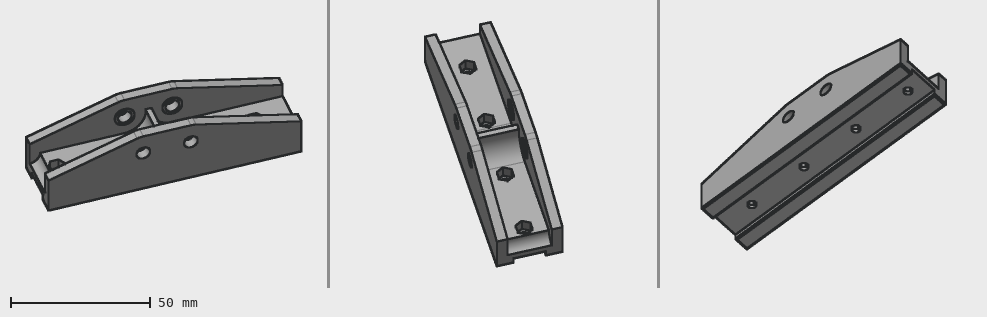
import cadquery as cq
import math

LENGTH = 96.0
WIDTH = 24.5
HEIGHT = 25.7
END_HEIGHT = 15.1
WALL = 4.0
INNER_WIDTH = WIDTH - 2 * WALL

AXLE_MIDDLE_Y = -3.0
AXLE_SPACING = 18.0
AXLE_Z = 17.7
AXLE_DIAMETER = 5.2
AXLE_YS = (AXLE_MIDDLE_Y - AXLE_SPACING / 2, AXLE_MIDDLE_Y + AXLE_SPACING / 2)
PAD_DIAMETER = 7.5
PAD_THICKNESS = 0.2

ROLLER_RADIUS = 8.0
FLOOR_Z = AXLE_Z - ROLLER_RADIUS
RIDGE_Z = 18.9
END_SCOOP_RADIUS = 3.9

GROOVE_WIDTH = 12.0
GROOVE_DEPTH = 2.9
FOOT_CHAMFER = 0.5

SCREW_COUNT = 4
SCREW_SPACING = 25.1
SCREW_DIAMETER = 3.3
NUT_SIDES = 6
NUT_ACROSS_FLATS = 5.5
NUT_POCKET_DEPTH = 4.8


def x_cylinder(diameter, length, y, z):
    """Cylinder along X, centred on x = 0."""
    return cq.Workplane("YZ", origin=(-length / 2, y, z)).circle(diameter / 2).extrude(length)


def x_box(length, y_range, z_range):
    """Box centred on x = 0 that spans the given Y and Z ranges."""
    y_low, y_high = y_range
    z_low, z_high = z_range
    return (
        cq.Workplane("XY")
        .box(length, y_high - y_low, z_high - z_low)
        .translate((0, (y_low + y_high) / 2, (z_low + z_high) / 2))
    )


def shoulder_points(axle_y, end_y):
    """Arc midpoint and end where the slope from the end face meets the round over an axle."""
    radius = HEIGHT - AXLE_Z
    run = abs(end_y - axle_y)
    drop = AXLE_Z - END_HEIGHT
    side = math.copysign(1, end_y - axle_y)
    tilt = math.atan2(run, -drop) - math.acos(radius / math.hypot(run, drop))

    def on_round(angle):
        return (axle_y + side * radius * math.sin(angle), AXLE_Z + radius * math.cos(angle))

    return on_round(tilt / 2), on_round(tilt)


def make_body():
    """Solid block with the side outline: a flat top that slopes down to both ends."""
    front_y, back_y = -LENGTH / 2, LENGTH / 2
    front_middle, front_tangent = shoulder_points(AXLE_YS[0], front_y)
    back_middle, back_tangent = shoulder_points(AXLE_YS[1], back_y)
    return (
        cq.Workplane("YZ", origin=(-WIDTH / 2, 0, 0))
        .moveTo(front_y, 0)
        .lineTo(front_y, END_HEIGHT)
        .lineTo(*front_tangent)
        .threePointArc(front_middle, (AXLE_YS[0], HEIGHT))
        .lineTo(AXLE_YS[1], HEIGHT)
        .threePointArc(back_middle, back_tangent)
        .lineTo(back_y, END_HEIGHT)
        .lineTo(back_y, 0)
        .close()
        .extrude(WIDTH)
    )


def make_channel():
    """Space between the side walls, with room for the rollers and a scoop at the front end."""
    channel = x_box(INNER_WIDTH, (-LENGTH / 2, LENGTH / 2), (FLOOR_Z, HEIGHT))
    ridge = x_box(INNER_WIDTH, AXLE_YS, (FLOOR_Z, RIDGE_Z))
    channel = channel.cut(ridge)
    for axle_y in AXLE_YS:
        channel = channel.union(x_cylinder(2 * ROLLER_RADIUS, INNER_WIDTH, axle_y, AXLE_Z))
    scoop = x_cylinder(2 * END_SCOOP_RADIUS, INNER_WIDTH, -LENGTH / 2, FLOOR_Z)
    return channel.union(scoop)


def pad_pair(axle_y):
    """Thin round pads on the inner faces of both walls, around one axle hole."""
    disc = x_cylinder(PAD_DIAMETER, INNER_WIDTH, axle_y, AXLE_Z)
    gap = x_cylinder(PAD_DIAMETER, INNER_WIDTH - 2 * PAD_THICKNESS, axle_y, AXLE_Z)
    return disc.cut(gap)


def make_screw_holes():
    """Through holes with hexagonal nut pockets whose corners point along Y."""
    first_y = AXLE_MIDDLE_Y - SCREW_SPACING * (SCREW_COUNT - 1) / 2
    places = [(0, first_y + i * SCREW_SPACING) for i in range(SCREW_COUNT)]
    nut_corner_radius = NUT_ACROSS_FLATS / 2 / math.cos(math.pi / NUT_SIDES)
    nut = cq.Sketch().regularPolygon(nut_corner_radius, NUT_SIDES)
    pockets = (
        cq.Workplane("XY", origin=(0, 0, FLOOR_Z - NUT_POCKET_DEPTH))
        .pushPoints(places)
        .placeSketch(nut)
        .extrude(NUT_POCKET_DEPTH)
    )
    holes = cq.Workplane("XY").pushPoints(places).circle(SCREW_DIAMETER / 2).extrude(FLOOR_Z)
    return pockets.union(holes)


groove = x_box(GROOVE_WIDTH, (-LENGTH / 2, LENGTH / 2), (0, GROOVE_DEPTH))

result = make_body().cut(groove)
result = result.faces("<Z").chamfer(FOOT_CHAMFER)
result = result.cut(make_channel())
for axle_y in AXLE_YS:
    result = result.union(pad_pair(axle_y))
    result = result.cut(x_cylinder(AXLE_DIAMETER, WIDTH, axle_y, AXLE_Z))
result = result.cut(make_screw_holes())